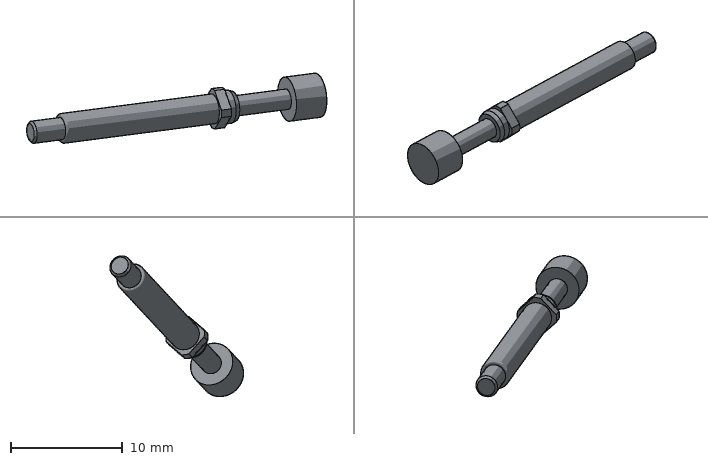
import cadquery as cq

total_length = 28.3
tail_length = 3.0
sleeve_length = 15.0
flange_length = 1.0
collar_length = 1.02
head_length = 3.0
stem_length = total_length - tail_length - sleeve_length - flange_length - collar_length - head_length

tail_diameter = 2.0
sleeve_diameter = 2.7
flange_diameter = 3.65
collar_diameter = 3.0
stem_diameter = 1.85
head_diameter = 4.0

flange_across_flats = 3.03
flat_tilt = 45.0

tail_chamfer = 0.2
sleeve_edge_radius = 0.2
collar_taper_length = 0.42
collar_taper_depth = 0.15

tail_start = 0.0
sleeve_start = tail_start + tail_length
flange_start = sleeve_start + sleeve_length
collar_start = flange_start + flange_length
stem_start = collar_start + collar_length
head_start = stem_start + stem_length


def cylinder(start, length, diameter):
    """Solid cylinder on the Y axis, running from start towards +Y."""
    plane = cq.Plane(origin=(0, start, 0), xDir=(1, 0, 0), normal=(0, 1, 0))
    return cq.Workplane(plane).circle(diameter / 2).extrude(length)


def make_tail():
    return cylinder(tail_start, tail_length, tail_diameter).faces("<Y").chamfer(tail_chamfer)


def make_sleeve():
    return cylinder(sleeve_start, sleeve_length, sleeve_diameter).faces("<Y").edges().fillet(sleeve_edge_radius)


def make_flange():
    """Disc trimmed by four flats, with its rounded corners on the X and Z axes."""
    disc = cylinder(flange_start, flange_length, flange_diameter)
    square = (
        cq.Workplane("XY")
        .box(flange_across_flats, flange_length, flange_across_flats)
        .rotate((0, 0, 0), (0, 1, 0), flat_tilt)
        .translate((0, flange_start + flange_length / 2, 0))
    )
    return disc.intersect(square)


def make_collar():
    """Straight collar that tapers slightly where the stem leaves it."""
    radius = collar_diameter / 2
    profile = (
        cq.Workplane("XY")
        .moveTo(0, collar_start)
        .lineTo(radius, collar_start)
        .lineTo(radius, stem_start - collar_taper_length)
        .lineTo(radius - collar_taper_depth, stem_start)
        .lineTo(0, stem_start)
        .close()
    )
    return profile.revolve(axisStart=(0, 0, 0), axisEnd=(0, 1, 0))


stem = cylinder(stem_start, stem_length, stem_diameter)
head = cylinder(head_start, head_length, head_diameter)

result = (
    make_tail()
    .union(make_sleeve())
    .union(make_flange())
    .union(make_collar())
    .union(stem)
    .union(head)
)